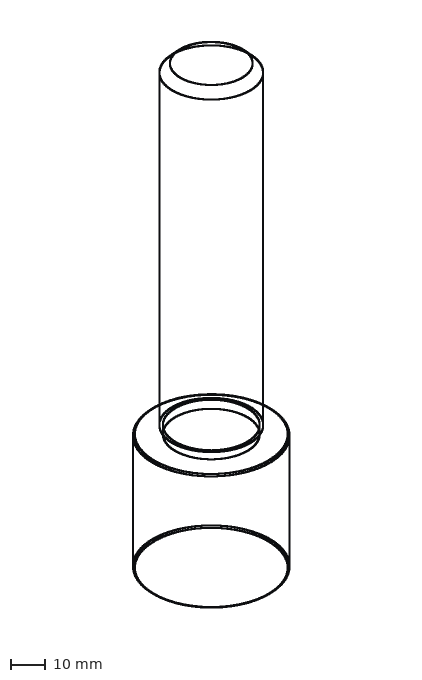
import cadquery as cq

total_length = 170.0
head_diameter = 45.0
head_length = 45.0
head_edge_chamfer = 0.5

shank_diameter = 30.0
shank_end_chamfer = 3.0

groove_width = 3.0
groove_depth = 1.0


def cylinder(diameter, bottom, top):
    """Upright cylinder on the Z axis between two heights."""
    return cq.Workplane("XY").workplane(offset=bottom).circle(diameter / 2).extrude(top - bottom)


head = cylinder(head_diameter, 0, head_length).edges("%CIRCLE").chamfer(head_edge_chamfer)

shank_bottom = head_length + groove_width
shank = cylinder(shank_diameter, shank_bottom, total_length).faces(">Z").chamfer(shank_end_chamfer)

neck_diameter = shank_diameter - 2 * groove_depth
neck = cylinder(neck_diameter, head_length, shank_bottom)

result = head.union(neck).union(shank)